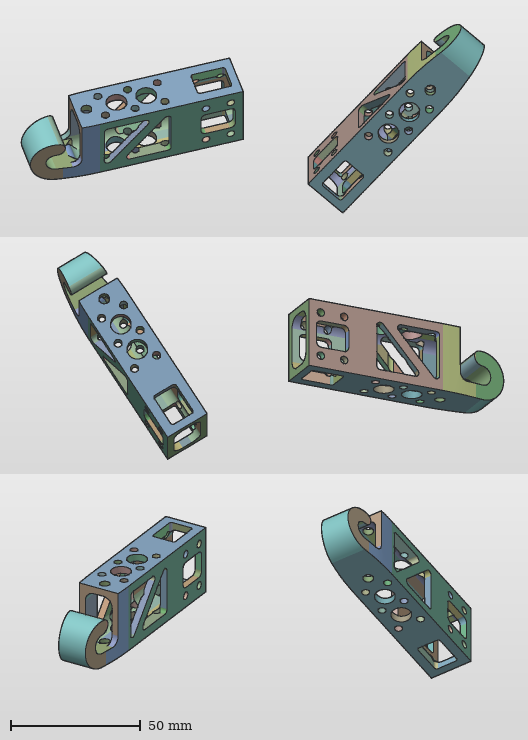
import cadquery as cq
import math


LENGTH = 85.0
WIDTH = 18.0
HEIGHT = 28.0
BODY_LENGTH = 65.0
WALL = 3.0
MID_Z = HEIGHT / 2

NOSE_WIDTH = 12.1
TAPER_BLEND_RADIUS = 100.0

HOOK_THICKNESS = 6.0
HOOK_OUTER_RADIUS = 10.0
HOOK_INNER_RADIUS = HOOK_OUTER_RADIUS - HOOK_THICKNESS
HOOK_CENTER_Y = HOOK_OUTER_RADIUS - LENGTH
HOOK_FILLET = 3.5
TIP_UPPER_RADIUS = 2.5
TIP_LOWER_RADIUS = HOOK_FILLET

CAVITY_WIDTH = WIDTH - 2 * WALL
CAVITY_RADIUS = 4.0
RAMP_RADIUS = 3.1
RAMP_FRONT_Y = -BODY_LENGTH - HOOK_FILLET
RAMP_FRONT_HALF_WIDTH = 2.4
RAMP_SIDE_DRAFT = 25.0

WINDOW_FROM_BACK = 3.2
WINDOW_LENGTH = 13.8
SIDE_WINDOW_HEIGHT = 11.0
SIDE_WINDOW_RADIUS = 2.0
TOP_WINDOW_WIDTH = 10.0
TOP_WINDOW_RADIUS = 1.0
SMALL_HOLE = 3.1
SIDE_HOLE_FIRST = 5.0
SIDE_HOLE_SPACING_Y = 10.0
SIDE_HOLE_SPACING_Z = 18.0

LARGE_HOLE = 8.0
ROW_PITCH = 12.0
FIRST_ROW = 30.4
ROW_COUNT = 3
PAIR_SPACING = 10.0
NOSE_HOLE = 4.1
NOSE_HOLE_FROM_BACK = 60.5

TRUSS_START = 29.1
TRUSS_LENGTH = 26.95
TRUSS_HEIGHT = 20.4
TRIANGLE_LENGTH = 19.9
TRIANGLE_HEIGHT = 22.3
TRUSS_RADIUS = 1.5


def arm_profile():
    """Side outline of the body and hook, extruded across the full width."""
    slot_top = HOOK_OUTER_RADIUS + HOOK_INNER_RADIUS
    tip = (HOOK_CENTER_Y + TIP_LOWER_RADIUS, slot_top + TIP_LOWER_RADIUS)
    rim_y = tip[0] - TIP_UPPER_RADIUS
    rim_z = HOOK_OUTER_RADIUS + math.sqrt(HOOK_OUTER_RADIUS**2 - (rim_y - HOOK_CENTER_Y) ** 2)
    return (
        cq.Workplane("YZ")
        .moveTo(0, 0)
        .lineTo(HOOK_CENTER_Y, 0)
        .threePointArc((-LENGTH, HOOK_OUTER_RADIUS), (rim_y, rim_z))
        .radiusArc(tip, TIP_UPPER_RADIUS)
        .radiusArc((HOOK_CENTER_Y, slot_top), TIP_LOWER_RADIUS)
        .threePointArc(
            (HOOK_CENTER_Y - HOOK_INNER_RADIUS, HOOK_OUTER_RADIUS),
            (HOOK_CENTER_Y, HOOK_THICKNESS),
        )
        .lineTo(-BODY_LENGTH - HOOK_FILLET, HOOK_THICKNESS)
        .radiusArc((-BODY_LENGTH, HOOK_THICKNESS + HOOK_FILLET), -HOOK_FILLET)
        .lineTo(-BODY_LENGTH, HEIGHT)
        .lineTo(0, HEIGHT)
        .close()
        .extrude(WIDTH / 2, both=True)
    )


def plan_outline():
    """Plan shape: straight flanks blended into the tapered nose."""
    half = WIDTH / 2
    nose_half = NOSE_WIDTH / 2
    prism = (
        cq.Workplane("XY")
        .polyline([
            (-half, 0),
            (-half, -BODY_LENGTH),
            (-nose_half, -LENGTH),
            (nose_half, -LENGTH),
            (half, -BODY_LENGTH),
            (half, 0),
        ])
        .close()
        .extrude(HEIGHT)
    )
    bend_edges = cq.selectors.BoxSelector(
        (-WIDTH, -BODY_LENGTH - WALL, 0), (WIDTH, -BODY_LENGTH + WALL, HEIGHT)
    )
    return prism.edges("|Z").edges(bend_edges).fillet(TAPER_BLEND_RADIUS)


def space_above_ramp():
    """Space between the cavity floor and the hook floor, above an S-shaped ramp in front.

    Drafted walls running back at 45 degrees narrow the ramp toward its front edge.
    """
    rise = HOOK_THICKNESS - WALL
    half_run = math.sqrt(RAMP_RADIUS**2 - (RAMP_RADIUS - rise / 2) ** 2)
    space = (
        cq.Workplane("YZ")
        .moveTo(RAMP_FRONT_Y, HOOK_THICKNESS)
        .radiusArc((RAMP_FRONT_Y + half_run, WALL + rise / 2), RAMP_RADIUS)
        .radiusArc((RAMP_FRONT_Y + 2 * half_run, WALL), -RAMP_RADIUS)
        .lineTo(0, WALL)
        .lineTo(0, HOOK_THICKNESS)
        .close()
        .extrude(WIDTH / 2, both=True)
    )
    apex_y = RAMP_FRONT_Y - RAMP_FRONT_HALF_WIDTH
    wedge = (
        cq.Workplane("XY", origin=(0, apex_y, HOOK_THICKNESS))
        .polyline([(0, 0), (2 * LENGTH, 2 * LENGTH), (-2 * LENGTH, 2 * LENGTH)])
        .close()
        .extrude(-rise, taper=RAMP_SIDE_DRAFT)
    )
    return space.intersect(wedge)


def cavity():
    """Rounded tunnel along Y whose floor ramps up to the hook floor at the front."""
    tunnel = (
        cq.Workplane("XZ")
        .center(0, MID_Z)
        .rect(CAVITY_WIDTH, HEIGHT - 2 * WALL)
        .extrude(LENGTH)
        .edges("|Y")
        .fillet(CAVITY_RADIUS)
    )
    above_hook_floor = (
        cq.Workplane("XY", origin=(0, 0, HOOK_THICKNESS))
        .rect(WIDTH, -2 * RAMP_FRONT_Y)
        .extrude(HEIGHT)
    )
    return tunnel.intersect(above_hook_floor.union(space_above_ramp()))


def across(outline):
    """Extrude an outline drawn on the YZ plane through both side walls."""
    return outline.extrude(WIDTH, both=True)


def side_mount():
    """Rounded window and four holes through both side walls near the back."""
    window = across(
        cq.Workplane("YZ")
        .center(-WINDOW_FROM_BACK - WINDOW_LENGTH / 2, MID_Z)
        .rect(WINDOW_LENGTH, SIDE_WINDOW_HEIGHT)
    ).edges("|X").fillet(SIDE_WINDOW_RADIUS)
    holes = across(
        cq.Workplane("YZ")
        .center(-SIDE_HOLE_FIRST - SIDE_HOLE_SPACING_Y / 2, MID_Z)
        .rect(SIDE_HOLE_SPACING_Y, SIDE_HOLE_SPACING_Z, forConstruction=True)
        .vertices()
        .circle(SMALL_HOLE / 2)
    )
    return window.union(holes)


def truss_windows():
    """Two right triangles facing each other across the strut, in opposite corners of a frame."""
    frame_center_y = -TRUSS_START - TRUSS_LENGTH / 2
    windows = cq.Workplane("YZ")
    for side in (-1, 1):
        corner_y = frame_center_y - side * TRUSS_LENGTH / 2
        corner_z = MID_Z + side * TRUSS_HEIGHT / 2
        triangle = across(
            cq.Workplane("YZ").polyline([
                (corner_y, corner_z),
                (corner_y + side * TRIANGLE_LENGTH, corner_z),
                (corner_y, corner_z - side * TRIANGLE_HEIGHT),
            ]).close()
        )
        windows = windows.add(triangle.edges("|X").fillet(TRUSS_RADIUS))
    return windows.combine()


def vertical_openings():
    """Window and holes through both the top and the bottom walls."""
    window = (
        cq.Workplane("XY")
        .center(0, -WINDOW_FROM_BACK - WINDOW_LENGTH / 2)
        .rect(TOP_WINDOW_WIDTH, WINDOW_LENGTH)
        .extrude(HEIGHT)
        .edges("|Z")
        .fillet(TOP_WINDOW_RADIUS)
    )
    rows = [-FIRST_ROW - i * ROW_PITCH for i in range(ROW_COUNT)]
    pair_points = [(side * PAIR_SPACING / 2, y) for y in rows for side in (-1, 1)]
    large_points = [(0, y - ROW_PITCH / 2) for y in rows[:-1]]
    small = cq.Workplane("XY").pushPoints(pair_points).circle(SMALL_HOLE / 2).extrude(HEIGHT)
    large = cq.Workplane("XY").pushPoints(large_points).circle(LARGE_HOLE / 2).extrude(HEIGHT)
    nose = cq.Workplane("XY").center(0, -NOSE_HOLE_FROM_BACK).circle(NOSE_HOLE / 2).extrude(HEIGHT)
    return window.union(small).union(large).union(nose)


result = (
    arm_profile()
    .intersect(plan_outline())
    .cut(cavity())
    .cut(side_mount())
    .cut(truss_windows())
    .cut(vertical_openings())
)